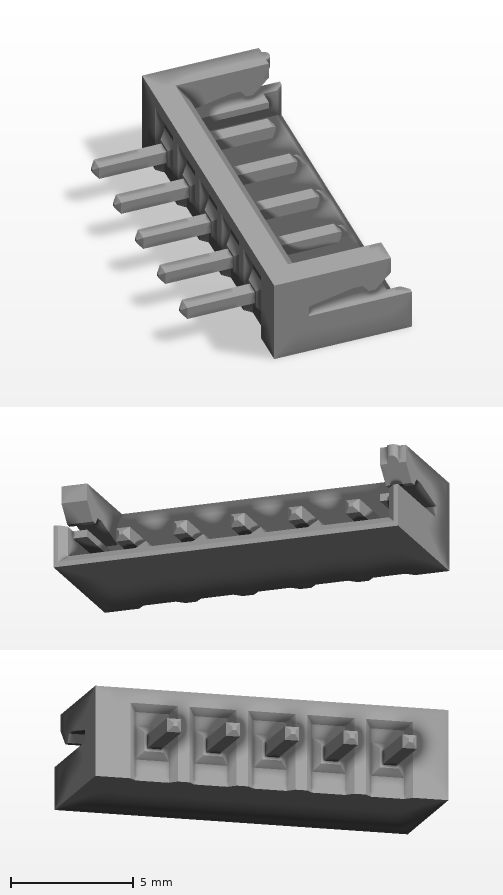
import cadquery as cq


length = 15.0
depth = 6.03
height = 3.8
rail_height = 1.8
arm_width = 1.12
arm_end_y = 5.12

slot_root_y = 1.53
slot_root_z = 2.3
slot_roof_z = 2.7
slot_roof_start_y = 3.44
slot_roof_end_y = 3.87
hook_low_z = 2.37
hook_front_y = 4.14
hook_back_y = 4.42

wall_top_thickness = 1.04
wall_slope_drop = 0.63

rail_wall = 0.51
floor_z = 0.52
entry_chamfer = 0.32
lip_thickness = 0.32
ridge_half_width = 0.3
ridge_height = 0.42

key_radius = 0.25
key_x = 0.55

pin_count = 5
pitch = length / (pin_count + 1)
pin_width = 0.6
pin_height = 0.57
pin_z = 1.59
pin_front_y = -3.16
pin_back_y = 4.85
pin_tip = 0.21

recess_width = 2.01
recess_top_z = 3.18
recess_depth = 0.3
recess_floor_width = recess_width - 2 * recess_depth
pad_top_width = recess_floor_width - 2 * recess_depth

pin_xs = [(i + 1) * pitch for i in range(pin_count)]
entry_start_y = depth - entry_chamfer


def box(x, y, z):
    """Box spanning the given (low, high) ranges."""
    size = [high - low for low, high in (x, y, z)]
    return cq.Workplane("XY").box(*size, centered=False).translate((x[0], y[0], z[0]))


def side_prism(points, x_low, x_high):
    """Outline of (y, z) points extruded along X."""
    return cq.Workplane("YZ").polyline(points).close().extrude(x_high - x_low).translate((x_low, 0, 0))


def make_shell():
    """Base, front wall and hooked arms as one side profile, including the key."""
    hook_slope_z = hook_low_z + arm_end_y - hook_back_y
    shell = side_prism(
        [
            (0, 0),
            (depth, 0),
            (depth, rail_height),
            (slot_root_y, rail_height),
            (slot_root_y, slot_root_z),
            (slot_roof_start_y, slot_roof_z),
            (slot_roof_end_y, slot_roof_z),
            (hook_front_y, hook_low_z),
            (hook_back_y, hook_low_z),
            (arm_end_y, hook_slope_z),
            (arm_end_y, height),
            (0, height),
        ],
        0,
        length,
    )
    key_end_y = arm_end_y + key_radius
    key = cq.Workplane("XY").center(key_x, arm_end_y).circle(key_radius).extrude(height)
    key_limits = side_prism(
        [
            (hook_front_y, height),
            (hook_back_y, hook_low_z),
            (key_end_y, hook_slope_z + key_radius),
            (key_end_y, height),
        ],
        0,
        length,
    )
    return shell.union(key.intersect(key_limits))


def make_center_opening():
    """Open space between the arms, above the cavity floor and behind the sloped front wall."""
    return side_prism(
        [
            (slot_root_y, floor_z),
            (depth, floor_z),
            (depth, height),
            (wall_top_thickness, height),
            (slot_root_y, height - wall_slope_drop),
        ],
        arm_width,
        length - arm_width,
    )


def make_rail_undercuts():
    """Cavity ends that reach under the lips of the side rails."""
    cavity_x = (rail_wall, length - rail_wall)
    below_lips = box(cavity_x, (slot_root_y, depth), (floor_z, rail_height - lip_thickness))
    behind_lips = box(cavity_x, (arm_end_y, depth), (floor_z, rail_height))
    return below_lips.union(behind_lips)


def make_entry():
    """Flare of the cavity mouth: both side walls and the floor widen at 45 degrees."""
    plan = (
        cq.Workplane("XY")
        .polyline(
            [
                (rail_wall, entry_start_y),
                (length - rail_wall, entry_start_y),
                (length - rail_wall + entry_chamfer, depth),
                (rail_wall - entry_chamfer, depth),
            ]
        )
        .close()
        .extrude(rail_height)
    )
    side = side_prism(
        [
            (entry_start_y, floor_z),
            (depth, floor_z - entry_chamfer),
            (depth, rail_height),
            (entry_start_y, rail_height),
        ],
        0,
        length,
    )
    return plan.intersect(side)


def make_ridge(x):
    """Triangular ridge on the cavity floor, cut off at its back end by the entry chamfer."""
    ridge_top_z = floor_z + ridge_height
    ridge_limits = side_prism(
        [
            (slot_root_y, floor_z),
            (entry_start_y, floor_z),
            (entry_start_y - ridge_height, ridge_top_z),
            (slot_root_y, ridge_top_z),
        ],
        x - ridge_half_width,
        x + ridge_half_width,
    )
    ridge = (
        cq.Workplane("XZ")
        .polyline([(x - ridge_half_width, floor_z), (x + ridge_half_width, floor_z), (x, ridge_top_z)])
        .close()
        .extrude(-depth)
    )
    return ridge.intersect(ridge_limits)


def make_recess(x):
    """Tapered recess open at the underside, leaving a tapered pad around the pin."""
    low_z = -recess_top_z
    recess = (
        cq.Workplane("XZ")
        .center(x, (low_z + recess_top_z) / 2)
        .rect(recess_width, recess_top_z - low_z)
        .workplane(offset=-recess_depth)
        .rect(recess_floor_width, recess_top_z - low_z - 2 * recess_depth)
        .loft(ruled=True)
    )
    pad = (
        cq.Workplane("XZ")
        .center(x, pin_z)
        .rect(pad_top_width, pad_top_width)
        .workplane(offset=-recess_depth)
        .rect(recess_floor_width, recess_floor_width)
        .loft(ruled=True)
    )
    return recess.cut(pad)


def make_pin(x):
    """Rectangular pin with both ends tapered."""
    pin_x_range = (x - pin_width / 2, x + pin_width / 2)
    pin_z_range = (pin_z - pin_height / 2, pin_z + pin_height / 2)
    pin = box(pin_x_range, (pin_front_y, pin_back_y), pin_z_range)
    return pin.faces("<Y or >Y").chamfer(pin_tip)


result = make_shell().cut(make_center_opening()).cut(make_rail_undercuts()).cut(make_entry())
for left_x, right_x in zip(pin_xs, pin_xs[1:]):
    result = result.union(make_ridge((left_x + right_x) / 2))
for pin_x in pin_xs:
    result = result.cut(make_recess(pin_x)).union(make_pin(pin_x))